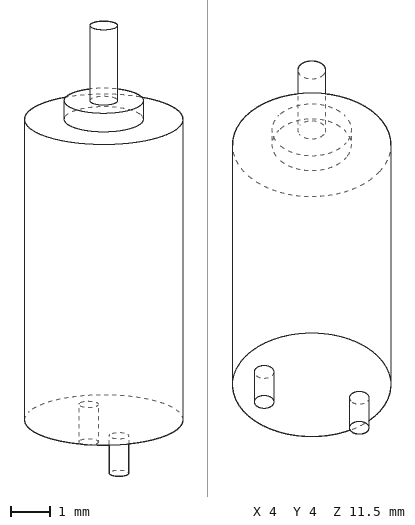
import cadquery as cq

body_diameter = 4.0
body_length = 8.0

boss_diameter = body_diameter / 2
boss_height = 0.5

shaft_diameter = 0.7
shaft_length = 2.0

pin_diameter = 0.5
pin_length = 1.0
pin_spacing = 2.6


def cylinder(diameter, base_z, height, x=0):
    """Upright cylinder rising from base_z, or hanging from it if height is negative."""
    return cq.Workplane("XY", origin=(x, 0, base_z)).circle(diameter / 2).extrude(height)


boss_top = body_length + boss_height

result = cylinder(body_diameter, 0, body_length)
result = result.union(cylinder(boss_diameter, body_length, boss_height))
result = result.union(cylinder(shaft_diameter, boss_top, shaft_length))

for side in (-1, 1):
    result = result.union(cylinder(pin_diameter, 0, -pin_length, side * pin_spacing / 2))